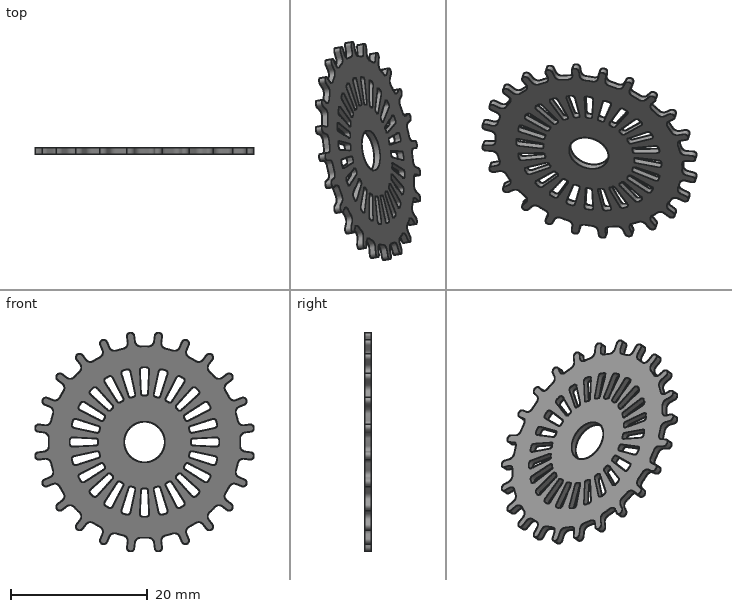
import cadquery as cq
import math

thickness = 1.0
bore_diameter = 5.9
root_radius = 14.0

count = 24
pitch_angle = 360.0 / count
tooth_tip_radius = 16.12
tooth_width = 1.1
tooth_root_fillet = 0.8

slot_inner_radius = 6.8
slot_outer_radius = 10.9
slot_inner_width = 0.95
slot_outer_width = 1.35
slot_inner_fillet = 0.3
slot_outer_fillet = 0.4

tolerance = 0.001


def profile_plane():
    """Plane parallel to XZ on the back face of the disc, which is centred on Y = 0."""
    return cq.Workplane("XZ", origin=(0, thickness / 2, 0))


def around_axis(body, start_angle):
    """Copies of a body at every pitch angle around the Y axis."""
    copies = []
    for index in range(count):
        angle = start_angle + index * pitch_angle
        copies.append(body.rotate((0, 0, 0), (0, 1, 0), angle).val())
    return copies


def make_tooth():
    """Parallel-sided tooth along +Z with a fully rounded tip, rooted inside the disc."""
    base_radius = root_radius - tooth_width
    half_width = tooth_width / 2
    round_centre = tooth_tip_radius - half_width
    profile = (
        profile_plane()
        .moveTo(-half_width, base_radius)
        .lineTo(half_width, base_radius)
        .lineTo(half_width, round_centre)
        .threePointArc((0, tooth_tip_radius), (-half_width, round_centre))
        .close()
    )
    return profile.extrude(thickness)


def make_slot():
    """Tapered slot cutter along +Z with an arc outer end and rounded corners."""
    inner_half = slot_inner_width / 2
    outer_half = slot_outer_width / 2
    outer_corner_height = math.sqrt(slot_outer_radius**2 - outer_half**2)
    profile = (
        profile_plane()
        .moveTo(-inner_half, slot_inner_radius)
        .lineTo(inner_half, slot_inner_radius)
        .lineTo(outer_half, outer_corner_height)
        .threePointArc((0, slot_outer_radius), (-outer_half, outer_corner_height))
        .close()
    )
    slot = profile.extrude(thickness)
    slot = slot.edges("|Y and (>X or <X)").fillet(slot_outer_fillet)
    return slot.edges("|Y and <Z").fillet(slot_inner_fillet)


def root_corners(body):
    """Edges along Y, other than the disc seam on the X axis, where the tooth flanks meet the root circle."""
    corners = []
    for edge in body.edges("|Y").vals():
        centre = edge.Center()
        radius = math.hypot(centre.x, centre.z)
        is_disc_seam = abs(centre.z) < tolerance
        if abs(radius - root_radius) < tolerance and not is_disc_seam:
            corners.append(edge)
    return corners


disc = profile_plane().circle(root_radius).extrude(thickness).val()
toothed = cq.Workplane(disc.fuse(*around_axis(make_tooth(), pitch_angle / 2)).clean())
filleted = toothed.val().fillet(tooth_root_fillet, root_corners(toothed))

bore = profile_plane().circle(bore_diameter / 2).extrude(thickness).val()
slots = around_axis(make_slot(), 0)
result = cq.Workplane(filleted.cut(bore, *slots))